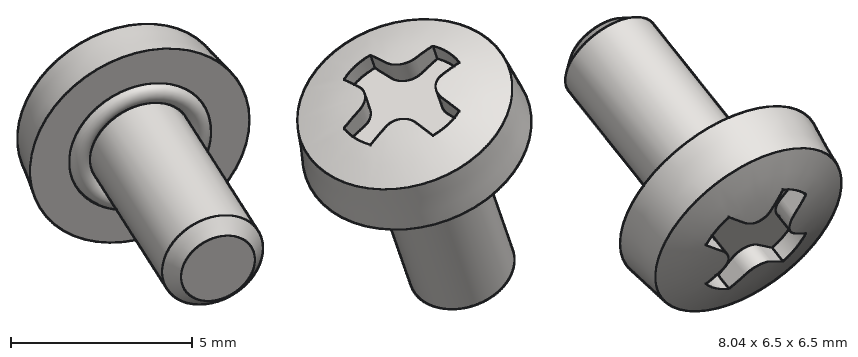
import cadquery as cq
import math

total_length = 8.04

head_radius = 3.25
dome_rim_radius = 3.05
dome_radius = 7.94
underside_x = 2.05

shank_radius = 1.495
shank_end_radius = 1.09
shank_taper_length = 0.41

recess_radius = 1.86
slot_half_width = 0.53
tooth_tip_radius = 1.0
recess_depth = 0.715

ring_section_radius = 0.3
ring_center_radius = shank_radius + ring_section_radius


def dome_rise(radius):
    """Axial distance from the apex of the dome to its surface at a radius."""
    return dome_radius - math.sqrt(dome_radius**2 - radius**2)


def make_blank():
    """Revolved head and shank with a half-round ring groove in the underside."""
    apex_x = -dome_rise(tooth_tip_radius)
    dome_rim_x = apex_x + dome_rise(dome_rim_radius)
    mid_radius = dome_rim_radius / 2
    return (
        cq.Workplane("XY")
        .moveTo(apex_x, 0)
        .threePointArc((apex_x + dome_rise(mid_radius), mid_radius), (dome_rim_x, dome_rim_radius))
        .lineTo(underside_x, head_radius)
        .lineTo(underside_x, ring_center_radius + ring_section_radius)
        .threePointArc(
            (underside_x - ring_section_radius, ring_center_radius),
            (underside_x, shank_radius),
        )
        .lineTo(total_length - shank_taper_length, shank_radius)
        .lineTo(total_length, shank_end_radius)
        .lineTo(total_length, 0)
        .close()
        .revolve(360, (0, 0, 0), (1, 0, 0))
    )


def make_recess_cutter():
    """Diagonal cross with rounded inner corners and arm ends on a common circle."""
    corner_x = slot_half_width * math.sqrt(2)
    corner_fillet = (tooth_tip_radius - corner_x) / (math.sqrt(2) - 1)
    arm_length = 4 * recess_radius
    cutter_length = 2 * recess_depth
    floor = cq.Workplane("YZ").workplane(offset=recess_depth)
    cross = floor.rect(arm_length, 2 * slot_half_width).extrude(-cutter_length)
    cross = cross.union(floor.rect(2 * slot_half_width, arm_length).extrude(-cutter_length))
    inner_corners = cq.selectors.BoxSelector(
        (-cutter_length, -recess_radius, -recess_radius),
        (cutter_length, recess_radius, recess_radius),
    )
    cross = cross.edges("|X").edges(inner_corners).fillet(corner_fillet)
    envelope = floor.circle(recess_radius).extrude(-cutter_length)
    return cross.intersect(envelope).rotate((0, 0, 0), (1, 0, 0), 45)


def make_screw():
    return make_blank().cut(make_recess_cutter())


def make_sealing_ring():
    return (
        cq.Workplane("XY")
        .center(underside_x, ring_center_radius)
        .circle(ring_section_radius)
        .revolve(360, (0, -ring_center_radius, 0), (1, -ring_center_radius, 0))
    )


screw = make_screw()
sealing_ring = make_sealing_ring()
result = cq.Compound.makeCompound([screw.solids().val(), sealing_ring.solids().val()])